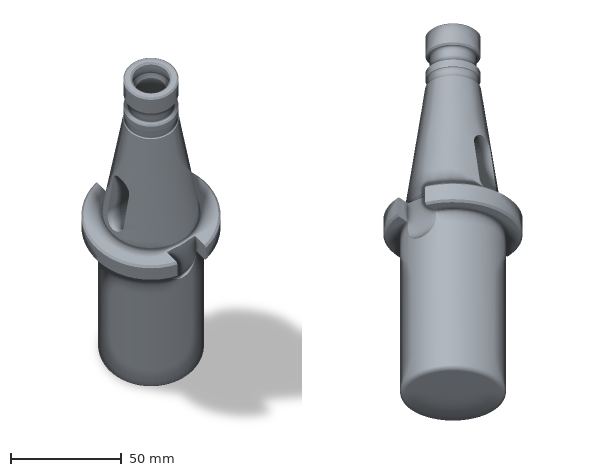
import cadquery as cq
import math

total_height = 188.4
gauge_height = 95.0
gauge_radius = 44.45 / 2
taper_length = 65.4
taper_ratio = 7 / 24

body_radius = 24.0
body_edge_round = 2.0

flange_radius = 63.0 / 2
flange_gap = 1.6
flange_thickness = 10.0
flange_fillet = 0.6
flange_chamfer = 1.0
relief_radius = 21.9
relief_top = 95.6
relief_fillet = 1.0

key_width = 16.1
key_floor = 22.5
key_bottom = 71.7

tail_radius = 12.5
tail_chamfer = 0.8
tail_length = 11.2
tail_neck_radius = 10.55
tail_neck_fillet = 0.6
collar_top = 169.7
collar_bottom = 165.3
lower_neck_radius = 12.0
lower_neck_fillet = 0.3

cross_slot_width = 12.0
cross_slot_bottom = 98.1
cross_slot_top = 129.9

bore_radius = 8.5
bore_mouth_radius = 9.4
bore_depth = 5.8
groove_radius = 8.8
groove_end_depth = 7.0
drill_radius = 7.0
drill_depth = 32.0
drill_tip_angle = 118.0

ring_tolerance = 0.05

flange_top = gauge_height - flange_gap
flange_bottom = flange_top - flange_thickness
taper_top = gauge_height + taper_length
tail_bottom = total_height - tail_length


def taper_radius(z):
    """Radius of the 7:24 cone at height z."""
    return gauge_radius - (z - gauge_height) * taper_ratio / 2


def round_ring(solid, ring_radius, z, fillet_radius):
    """Fillet the circular edge of the given radius at height z."""
    reach = ring_radius + ring_tolerance
    inner = ring_radius - ring_tolerance
    near = cq.selectors.BoxSelector(
        (-reach, -reach, z - ring_tolerance),
        (reach, reach, z + ring_tolerance),
        boundingbox=True,
    )
    core = cq.selectors.BoxSelector(
        (-inner, -inner, z - ring_tolerance),
        (inner, inner, z + ring_tolerance),
        boundingbox=True,
    )
    return solid.edges(near - core).fillet(fillet_radius)


def outer_body():
    """Turned outside shape, revolved about Z."""
    c = flange_chamfer
    t = tail_chamfer
    profile = [
        (0, 0),
        (body_radius, 0),
        (body_radius, flange_bottom),
        (flange_radius - c, flange_bottom),
        (flange_radius, flange_bottom + c),
        (flange_radius, flange_top - c),
        (flange_radius - c, flange_top),
        (relief_radius, flange_top),
        (relief_radius, relief_top),
        (taper_radius(relief_top), relief_top),
        (taper_radius(taper_top), taper_top),
        (lower_neck_radius, taper_top),
        (lower_neck_radius, collar_bottom),
        (tail_radius, collar_bottom),
        (tail_radius, collar_top - t),
        (tail_radius - t, collar_top),
        (tail_neck_radius, collar_top),
        (tail_neck_radius, tail_bottom),
        (tail_radius - t, tail_bottom),
        (tail_radius, tail_bottom + t),
        (tail_radius, total_height - t),
        (tail_radius - t, total_height),
        (0, total_height),
    ]
    solid = cq.Workplane("XZ").polyline(profile).close().revolve(360, (0, 0), (0, 1))
    solid = solid.faces("<Z").edges().fillet(body_edge_round)
    solid = round_ring(solid, body_radius, flange_bottom, flange_fillet)
    solid = round_ring(solid, relief_radius, flange_top, relief_fillet)
    solid = round_ring(solid, tail_neck_radius, collar_top, tail_neck_fillet)
    solid = round_ring(solid, lower_neck_radius, taper_top, lower_neck_fillet)
    solid = round_ring(solid, lower_neck_radius, collar_bottom, lower_neck_fillet)
    return round_ring(solid, tail_neck_radius, tail_bottom, tail_neck_fillet)


def drawbar_hole():
    """Stepped hole from the tail end, with a conical drill tip."""
    mouth_depth = bore_mouth_radius - bore_radius
    lead_end = groove_end_depth + bore_radius - drill_radius
    tip_length = drill_radius / math.tan(math.radians(drill_tip_angle / 2))
    profile = [
        (0, 0),
        (bore_mouth_radius, 0),
        (bore_radius, -mouth_depth),
        (bore_radius, -bore_depth),
        (groove_radius, -bore_depth),
        (groove_radius, -groove_end_depth),
        (bore_radius, -groove_end_depth),
        (drill_radius, -lead_end),
        (drill_radius, -drill_depth),
        (0, -drill_depth - tip_length),
    ]
    hole = cq.Workplane("XZ").polyline(profile).close().revolve(360, (0, 0), (0, 1))
    return hole.translate((0, 0, total_height))


def cross_slot():
    """Round-ended slot running through the cone along Y."""
    length = cross_slot_top - cross_slot_bottom
    middle = (cross_slot_top + cross_slot_bottom) / 2
    return (
        cq.Workplane("XZ")
        .center(0, middle)
        .slot2D(length, cross_slot_width, 90)
        .extrude(flange_radius, both=True)
    )


def key_slot(side):
    """Drive slot on the +X (side = 1) or -X (side = -1) flank, open upward, round at the bottom."""
    half = key_width / 2
    arc_center = key_bottom + half
    cut_depth = flange_radius - key_floor
    slot = (
        cq.Workplane("YZ")
        .moveTo(-half, flange_top)
        .lineTo(-half, arc_center)
        .threePointArc((0, key_bottom), (half, arc_center))
        .lineTo(half, flange_top)
        .close()
        .extrude(side * cut_depth)
    )
    return slot.translate((side * key_floor, 0, 0))


result = outer_body().cut(drawbar_hole()).cut(cross_slot())
for side in (-1, 1):
    result = result.cut(key_slot(side))